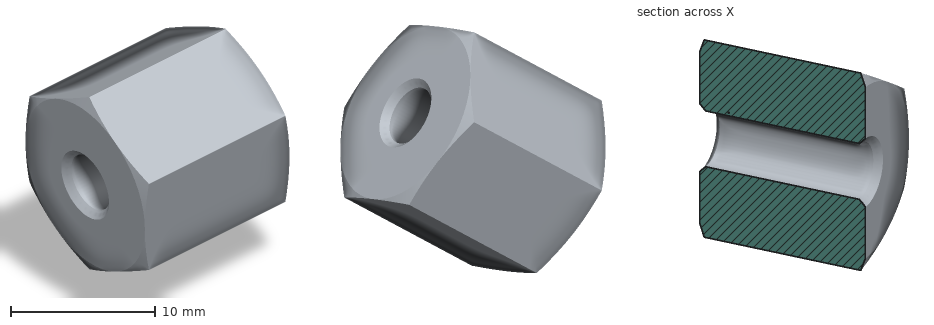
import cadquery as cq
import math

across_corners = 15.01
corner_radius = across_corners / 2
flat_radius = corner_radius * math.cos(math.radians(30))
length = 2 * flat_radius
half_length = length / 2

corner_chamfer_angle = 20.0
chamfer_depth = (corner_radius - flat_radius) * math.tan(math.radians(corner_chamfer_angle))

bore_radius = 2.1
countersink_radius = 2.6
countersink_depth = countersink_radius - bore_radius


def revolve_about_y(profile):
    """Turn (radius, y) points into a solid of revolution about Y."""
    return cq.Workplane("XY").polyline(profile).close().revolve(360, (0, 0, 0), (0, 1, 0))


def hexagonal_bar():
    corners = [
        (corner_radius * math.sin(math.radians(angle)), corner_radius * math.cos(math.radians(angle)))
        for angle in range(0, 360, 60)
    ]
    return cq.Workplane("XZ").polyline(corners).close().extrude(half_length, both=True)


def chamfer_envelope():
    """Turned blank whose conical ends bevel the hexagon's corners."""
    shoulder = half_length - chamfer_depth
    return revolve_about_y([
        (0, -half_length),
        (flat_radius, -half_length),
        (corner_radius, -shoulder),
        (corner_radius, shoulder),
        (flat_radius, half_length),
        (0, half_length),
    ])


def countersunk_bore():
    """Through bore that flares out at both end faces."""
    cone_end = half_length - countersink_depth
    return revolve_about_y([
        (0, -half_length),
        (countersink_radius, -half_length),
        (bore_radius, -cone_end),
        (bore_radius, cone_end),
        (countersink_radius, half_length),
        (0, half_length),
    ])


result = hexagonal_bar().intersect(chamfer_envelope()).cut(countersunk_bore())